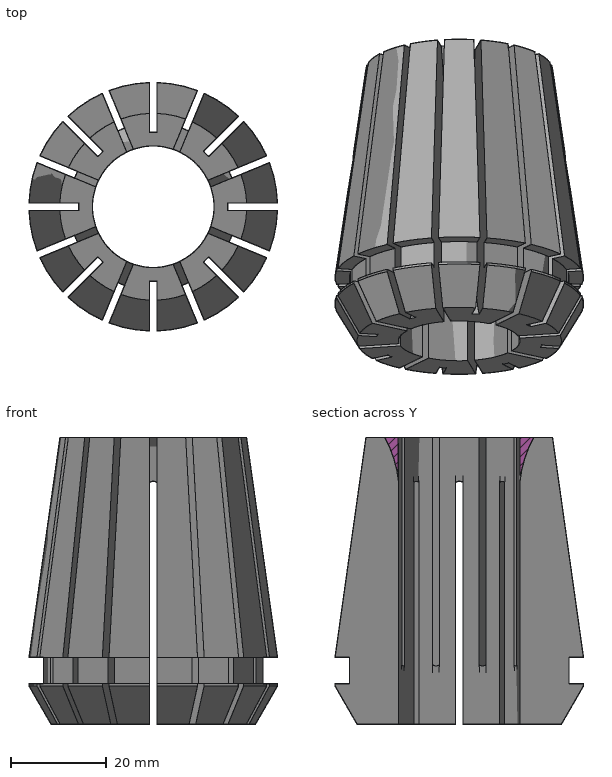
import math

import cadquery as cq

height = 60.0
outer_radius = 26.0
bore_radius = 12.7
body_taper_deg = 8.0
nose_taper_deg = 30.0

lip_bottom_z = 8.0
groove_bottom_z = 8.5
groove_top_z = 14.0
groove_radius = 23.0

slot_width = 1.5
slots_per_end = 8
slot_floor_radius = 12.55
runout_arc_radius = 25.0
nose_slot_exit_radius = 15.6
tail_slot_exit_radius = 17.5
slot_clearance = 1.0

slot_pitch_deg = 360.0 / (2 * slots_per_end)


def make_body():
    """Revolved body: nose cone, lip, groove, long taper and through bore."""
    nose_radius = outer_radius - lip_bottom_z * math.tan(math.radians(nose_taper_deg))
    tail_radius = outer_radius - (height - groove_top_z) * math.tan(math.radians(body_taper_deg))
    profile = (
        cq.Workplane("XZ")
        .moveTo(bore_radius, 0)
        .lineTo(nose_radius, 0)
        .lineTo(outer_radius, lip_bottom_z)
        .lineTo(outer_radius, groove_bottom_z)
        .lineTo(groove_radius, groove_bottom_z)
        .lineTo(groove_radius, groove_top_z)
        .lineTo(outer_radius, groove_top_z)
        .lineTo(tail_radius, height)
        .lineTo(bore_radius, height)
        .close()
    )
    return profile.revolve(360, (0, 0, 0), (0, 1, 0))


def make_slot(exit_radius):
    """Slot open at the nose, its floor curving outward to leave through the tail face."""
    full_sweep = math.acos(1 - (exit_radius - slot_floor_radius) / runout_arc_radius)
    half_sweep = full_sweep / 2
    arc_start_z = height - runout_arc_radius * math.sin(full_sweep)
    arc_middle = (
        slot_floor_radius + runout_arc_radius * (1 - math.cos(half_sweep)),
        arc_start_z + runout_arc_radius * math.sin(half_sweep),
    )
    far_radius = outer_radius + slot_clearance
    return (
        cq.Workplane("XZ")
        .moveTo(slot_floor_radius, 0)
        .lineTo(slot_floor_radius, arc_start_z)
        .threePointArc(arc_middle, (exit_radius, height))
        .lineTo(far_radius, height)
        .lineTo(far_radius, 0)
        .close()
        .extrude(slot_width / 2, both=True)
    )


def cut_slots(body):
    """Cut both sets of slots, alternating between nose-end and tail-end cuts."""
    nose_slot = make_slot(nose_slot_exit_radius)
    tail_slot = make_slot(tail_slot_exit_radius).mirror("XY").translate((0, 0, height))
    for index in range(slots_per_end):
        nose_angle = 2 * index * slot_pitch_deg
        tail_angle = nose_angle + slot_pitch_deg
        body = body.cut(nose_slot.rotate((0, 0, 0), (0, 0, 1), nose_angle))
        body = body.cut(tail_slot.rotate((0, 0, 0), (0, 0, 1), tail_angle))
    return body


result = cut_slots(make_body())